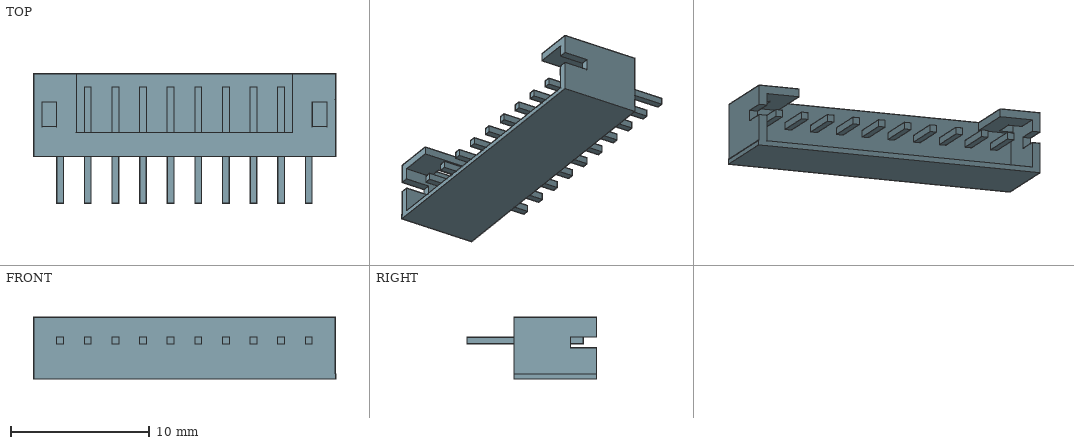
import cadquery as cq

FLOOR_WIDTH = 21.9
HOUSING_WIDTH = 21.85
HOUSING_DEPTH = 6.0
HOUSING_HEIGHT = 4.5
FLOOR_THICKNESS = 0.37
ROOF_THICKNESS = 0.6
SIDE_WALL = 0.61
BACK_WALL = 1.75

WINDOW_WIDTH = 15.64

SLOT_DEPTH = 1.88
NEAR_SLOT_HEIGHT = 0.83
FAR_SLOT_HEIGHT = 0.77

LATCH_WIDTH = 1.05
LATCH_LENGTH = 1.77
LATCH_MOUTH_GAP = 2.05

PIN_COUNT = 10
PIN_ROW_SPAN = 18.0
PIN_SIZE = 0.5
PIN_TAIL = 3.4
PIN_TIP_GAP = 0.96
PIN_TOP_DROP = 1.45

centre_x = HOUSING_WIDTH / 2
roof_underside = HOUSING_HEIGHT - ROOF_THICKNESS
pin_pitch = PIN_ROW_SPAN / (PIN_COUNT - 1)
pin_top = HOUSING_HEIGHT - PIN_TOP_DROP


def block(x_range, y_range, z_range):
    """Axis-aligned block spanning the given (low, high) ranges."""
    lows, highs = zip(x_range, y_range, z_range)
    sizes = [high - low for low, high in zip(lows, highs)]
    return cq.Workplane("XY").box(*sizes, centered=False).translate(lows)


def centred(middle, size):
    """Range of the given size around a middle position."""
    return (middle - size / 2, middle + size / 2)


def housing_shell():
    """Plain housing block on its slightly wider floor plate."""
    body = block((0, HOUSING_WIDTH), (0, HOUSING_DEPTH), (0, HOUSING_HEIGHT))
    floor = block((0, FLOOR_WIDTH), (0, HOUSING_DEPTH), (0, FLOOR_THICKNESS))
    return body.union(floor)


def cavity():
    """Socket space between floor, roof, side walls and back wall, plus the roof window."""
    depth_range = (BACK_WALL, HOUSING_DEPTH)
    socket = block(
        (SIDE_WALL, HOUSING_WIDTH - SIDE_WALL), depth_range, (FLOOR_THICKNESS, roof_underside)
    )
    window = block(
        centred(centre_x, WINDOW_WIDTH), depth_range, (FLOOR_THICKNESS, HOUSING_HEIGHT)
    )
    return socket.union(window)


def side_slot(x_range, height):
    """Slot in one side wall, its upper edge level with the top of the pins."""
    return block(x_range, (HOUSING_DEPTH - SLOT_DEPTH, HOUSING_DEPTH), (pin_top - height, pin_top))


def latch_hole(x_low):
    """Rectangular hole through the roof."""
    y_high = HOUSING_DEPTH - LATCH_MOUTH_GAP
    return block(
        (x_low, x_low + LATCH_WIDTH), (y_high - LATCH_LENGTH, y_high), (roof_underside, HOUSING_HEIGHT)
    )


def pin(index):
    """Straight pin running from its tail in front of the housing into the cavity."""
    x = centre_x - PIN_ROW_SPAN / 2 + index * pin_pitch
    return block(
        centred(x, PIN_SIZE), (-PIN_TAIL, HOUSING_DEPTH - PIN_TIP_GAP), (pin_top - PIN_SIZE, pin_top)
    )


result = housing_shell().cut(cavity())
result = result.cut(side_slot((0, SIDE_WALL), NEAR_SLOT_HEIGHT))
result = result.cut(side_slot((HOUSING_WIDTH - SIDE_WALL, HOUSING_WIDTH), FAR_SLOT_HEIGHT))
for latch_x in (SIDE_WALL, HOUSING_WIDTH - SIDE_WALL - LATCH_WIDTH):
    result = result.cut(latch_hole(latch_x))
for pin_index in range(PIN_COUNT):
    result = result.union(pin(pin_index))